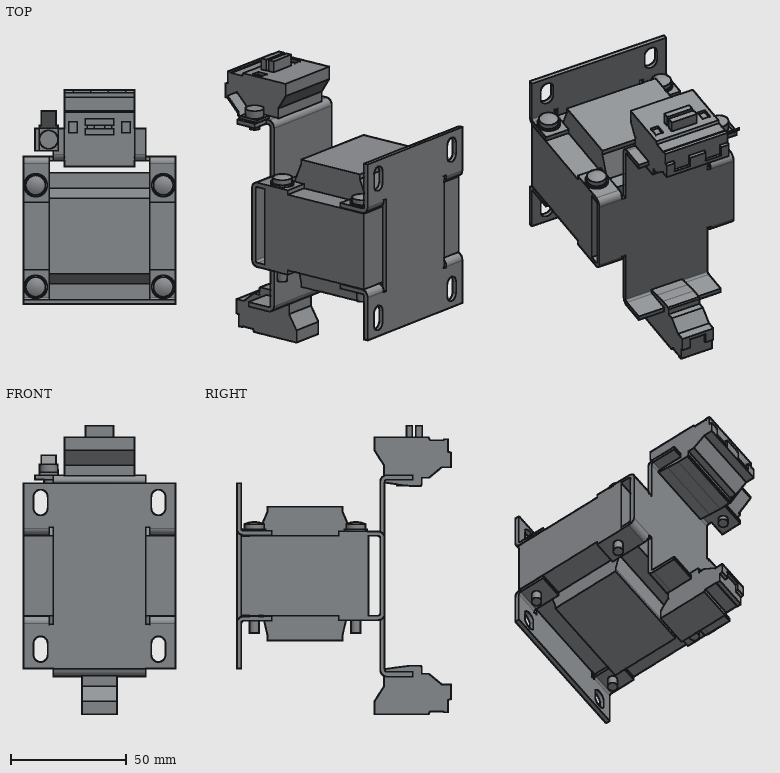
import cadquery as cq
import math


width = 66.0
half_width = width / 2
sheet = 2.0
bend_radius = 3.0
relief_width = 1.6
strip_half_width = 20.1
tab_inner_x = strip_half_width + relief_width

core_half_height = 17.2
core_back = 57.0
coil_half_width = tab_inner_x
coil_middle_y = 29.5
coil_cap_half_depth = 16.2
coil_straight = 2.1
coil_top = 30.0
coil_top_half_depth = 20.8
coil_bottom = -28.0
coil_bottom_half_depth = 18.2

plate_half_height = 40.1
front_tab_end = 15.0
front_tab_gap = 0.2
front_relief_z = 21.0
slot_width = 6.0
slot_length = 11.0
slot_x = 25.5
slot_z = 31.8

tab_outer_z = core_half_height + sheet
rear_outer = 64.0
rear_inner = rear_outer - sheet
rear_tab_end = 44.1
rear_relief_z = tab_outer_z - bend_radius
flange_z = 43.6
flange_end = 76.1
ear_end_x = -28.0
ear_start_y = 66.4

screw_x = 27.6
screw_rows = (7.5, 51.5)
washer_radius = 5.0
washer_height = 0.9
head_radius = 4.2
head_height = 2.2
dome_height = 1.0
shank_radius = 2.1
shank_end = -24.8

earth_x = -22.0
earth_y = 71.2
earth_head_radius = 4.0
earth_head_top = 48.2
earth_shank_radius = 2.1
earth_shank_end = 39.0
lug_width = 8.1
lug_thickness = 1.1
lug_start_y = 66.5
lug_bend_y = 76.1
lug_wide_rise = 1.2
tongue_width = 6.5
tongue_rise = 7.5
tongue_thickness = 0.8

module_width = 15.2
block_top = 60.0
block_back = 92.8
ledge_y = 91.5
ledge_z = 53.8
entry_width = 7.5
entry_height = 5.0
pocket_depth = 1.2
pocket_size = (3.6, 4.9)
pocket_x = 11.5
pocket_y = 76.6
peg_length = 12.2
peg_top = 65.0
peg_spans = ((73.4, 76.0), (77.4, 80.2))
contact_x = 3.8
contact_width = 3.0


def block(x0, x1, y0, y1, z0, z1):
    """Box between two corners."""
    return cq.Workplane("XY").box(x1 - x0, y1 - y0, z1 - z0, centered=False).translate((x0, y0, z0))


def extrude_along_x(outline, x0, x1):
    """Extrude a closed YZ outline from x0 to x1."""
    return outline.extrude(x1 - x0).translate((x0, 0, 0))


def rod(x, y, z0, z1, radius):
    """Upright cylinder."""
    return cq.Workplane("XY").circle(radius).extrude(z1 - z0).translate((x, y, z0))


def bent_strip(x0, x1, corner_y, corner_z, end_y, end_z):
    """L-shaped sheet strip with a rounded bend at its outer corner."""
    to_y = math.copysign(1, end_y - corner_y)
    to_z = math.copysign(1, end_z - corner_z)
    centre_y = corner_y + to_y * bend_radius
    centre_z = corner_z + to_z * bend_radius
    inner_y = corner_y + to_y * sheet
    inner_z = corner_z + to_z * sheet

    def arc_middle(radius):
        reach = radius * math.sqrt(0.5)
        return centre_y - to_y * reach, centre_z - to_z * reach

    outline = (
        cq.Workplane("YZ")
        .moveTo(end_y, corner_z)
        .lineTo(centre_y, corner_z)
        .threePointArc(arc_middle(bend_radius), (corner_y, centre_z))
        .lineTo(corner_y, end_z)
        .lineTo(inner_y, end_z)
        .lineTo(inner_y, centre_z)
        .threePointArc(arc_middle(bend_radius - sheet), (centre_y, inner_z))
        .lineTo(end_y, inner_z)
        .close()
    )
    return extrude_along_x(outline, x0, x1)


def both_sides(shape):
    """The shape together with its mirror image across X = 0."""
    return shape.union(shape.mirror("YZ"))


def four_corners(shape):
    """The shape repeated across X = 0 and Z = 0."""
    return both_sides(shape.union(shape.mirror("XY")))


def coil_half(end_z, base_half_depth):
    """Coil part on one side of the core, tapering to a straight rim."""
    rim_z = end_z - math.copysign(coil_straight, end_z)
    base_z = math.copysign(core_half_height, end_z)
    side = [(base_half_depth, base_z), (coil_cap_half_depth, rim_z), (coil_cap_half_depth, end_z)]
    points = [(coil_middle_y + d, z) for d, z in side]
    points += [(coil_middle_y - d, z) for d, z in reversed(side)]
    outline = cq.Workplane("YZ").polyline(points).close()
    return extrude_along_x(outline, -coil_half_width, coil_half_width)


def core_and_coil():
    core = block(-half_width, half_width, sheet, core_back, -core_half_height, core_half_height)
    top = coil_half(coil_top, coil_top_half_depth)
    bottom = coil_half(coil_bottom, coil_bottom_half_depth)
    return core.union(top).union(bottom)


def mounting_plate():
    plate = block(-half_width, half_width, 0, sheet, -plate_half_height, plate_half_height)
    window = block(strip_half_width, half_width, 0, sheet, -front_relief_z, front_relief_z)
    tab_z = core_half_height + front_tab_gap
    tab = bent_strip(tab_inner_x, half_width, 0, tab_z, front_tab_end, plate_half_height)
    slots = (
        cq.Workplane("XZ")
        .rect(2 * slot_x, 2 * slot_z, forConstruction=True)
        .vertices()
        .slot2D(slot_length, slot_width, 90)
        .extrude(-sheet)
    )
    return plate.cut(both_sides(window)).union(four_corners(tab)).cut(slots)


def rear_bracket():
    tab = bent_strip(tab_inner_x, half_width, rear_outer, tab_outer_z, rear_tab_end, 0)
    web = block(-tab_inner_x, tab_inner_x, rear_inner, rear_outer, -rear_relief_z, rear_relief_z)
    flange = bent_strip(-strip_half_width, strip_half_width, rear_inner, flange_z, flange_end, 0)
    ear = block(ear_end_x, -strip_half_width, ear_start_y, flange_end, flange_z - sheet, flange_z)
    return web.union(four_corners(tab)).union(flange).union(flange.mirror("XY")).union(ear)


def core_screw(x, y):
    """Domed screw with washer, passing through both tabs and the core."""
    washer_top = tab_outer_z + washer_height
    head_top = washer_top + head_height
    half_profile = (
        cq.Workplane("XZ")
        .moveTo(0, shank_end)
        .lineTo(shank_radius, shank_end)
        .lineTo(shank_radius, tab_outer_z)
        .lineTo(washer_radius, tab_outer_z)
        .lineTo(washer_radius, washer_top)
        .lineTo(head_radius, washer_top)
        .lineTo(head_radius, head_top)
    )
    dome_radius = (head_radius ** 2 + dome_height ** 2) / (2 * dome_height)
    half_profile = half_profile.radiusArc((0, head_top + dome_height), -dome_radius).close()
    return half_profile.revolve(360, (0, 0, 0), (0, 1, 0)).translate((x, y, 0))


def earth_terminal():
    """Screw and cable lug whose tongue rises at 45 degrees."""
    lug_top = flange_z + lug_thickness
    half_lug = lug_width / 2
    half_tongue = tongue_width / 2
    lug = block(earth_x - half_lug, earth_x + half_lug, lug_start_y, lug_bend_y, flange_z, lug_top)
    slant = tongue_thickness * math.sqrt(2)

    def rising_strip(half, rise):
        outline = (
            cq.Workplane("YZ")
            .moveTo(lug_bend_y, lug_top)
            .lineTo(lug_bend_y + rise, lug_top + rise)
            .lineTo(lug_bend_y + rise, lug_top + rise - slant)
            .lineTo(lug_bend_y, lug_top - slant)
            .close()
        )
        return extrude_along_x(outline, earth_x - half, earth_x + half)

    lug = lug.union(rising_strip(half_lug, lug_wide_rise)).union(rising_strip(half_tongue, tongue_rise))
    head = rod(earth_x, earth_y, lug_top, earth_head_top, earth_head_radius)
    shank = rod(earth_x, earth_y, earth_shank_end, lug_top, earth_shank_radius)
    return lug.union(head).union(shank)


def terminal_module(x):
    """One terminal module standing on the upper flange, with a wire entry at the back."""
    outline = (
        cq.Workplane("YZ")
        .polyline([
            (83.0, block_top), (59.5, block_top), (59.5, 54.4), (63.6, 47.9),
            (63.6, 40.4), (69.0, 39.6), (74.8, 38.9), (79.6, 38.9), (80.1, 39.6),
            (80.1, 42.4), (83.1, 42.4), (88.8, 47.0), (block_back, 47.0), (block_back, 53.4),
            (ledge_y, ledge_z), (ledge_y, 59.1), (89.5, 59.1), (89.5, 58.8), (83.6, 58.8),
        ])
        .close()
    )
    body = extrude_along_x(outline, x - module_width / 2, x + module_width / 2)
    half_entry = entry_width / 2
    entry = block(x - half_entry, x + half_entry, ledge_y, block_back, ledge_z - entry_height, ledge_z)
    return body.cut(entry)


def upper_terminal_block():
    terminals = both_sides(terminal_module(module_width / 2))
    floor = block_top - pocket_depth
    pocket = (
        cq.Workplane("XY")
        .rect(*pocket_size)
        .extrude(pocket_depth)
        .translate((pocket_x, pocket_y, floor))
    )
    contact = block(
        contact_x - contact_width / 2, contact_x + contact_width / 2,
        peg_spans[0][1], peg_spans[1][0], floor, block_top,
    )
    terminals = terminals.cut(both_sides(pocket.union(contact)))
    for start, end in peg_spans:
        terminals = terminals.union(block(-peg_length / 2, peg_length / 2, start, end, block_top, peg_top))
    return terminals


result = core_and_coil().union(mounting_plate()).union(rear_bracket())
for row in screw_rows:
    for side_x in (-screw_x, screw_x):
        result = result.union(core_screw(side_x, row))
result = result.union(earth_terminal())
result = result.union(upper_terminal_block())
result = result.union(terminal_module(0).mirror("XY"))